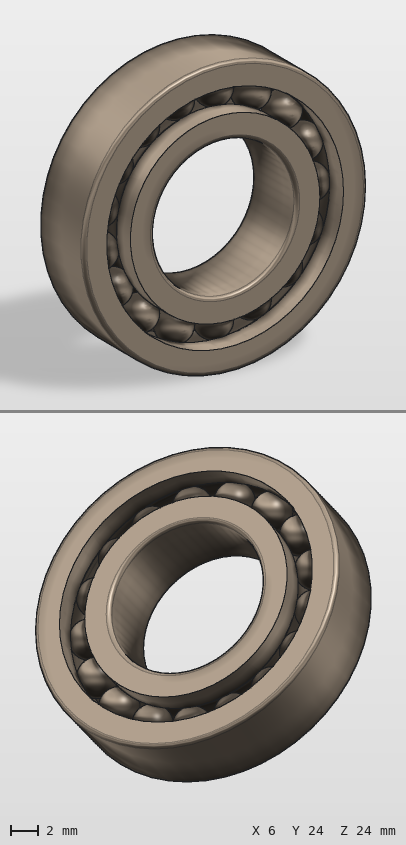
import cadquery as cq
import math

width = 6.0
bore_diameter = 12.0
inner_ring_diameter = 16.0
outer_ring_bore = 20.0
outer_diameter = 24.0
edge_radius = 0.3

ball_count = 17
ball_diameter = 3.0
ball_embed = 0.02

ball_radius = ball_diameter / 2
pitch_radius = (inner_ring_diameter + outer_ring_bore) / 4
groove_radius = ball_radius - ball_embed


def make_ring(inside_diameter, outside_diameter):
    """Plain ring along X, centred on the YZ plane."""
    return (
        cq.Workplane("YZ", origin=(-width / 2, 0, 0))
        .circle(outside_diameter / 2)
        .circle(inside_diameter / 2)
        .extrude(width)
    )


def round_rims(ring, rim_diameter):
    """Round both end edges that have the given diameter."""
    rim_edges = ring.edges("%CIRCLE").filter(
        lambda edge: math.isclose(edge.radius(), rim_diameter / 2)
    )
    return rim_edges.fillet(edge_radius)


def make_ball(angle):
    """Ball on the pitch circle, at an angle in radians from +Y towards +Z."""
    y = pitch_radius * math.cos(angle)
    z = pitch_radius * math.sin(angle)
    return cq.Workplane("XY").sphere(ball_radius).translate((0, y, z))


inner_ring = round_rims(make_ring(bore_diameter, inner_ring_diameter), bore_diameter)
outer_ring = round_rims(make_ring(outer_ring_bore, outer_diameter), outer_diameter)

race_groove = cq.Workplane(
    cq.Solid.makeTorus(pitch_radius, groove_radius, cq.Vector(), cq.Vector(1, 0, 0))
)

balls = cq.Workplane()
for index in range(ball_count):
    balls = balls.add(make_ball(2 * math.pi * index / ball_count))

grooved_rings = inner_ring.union(outer_ring).cut(race_groove)
result = grooved_rings.union(balls.combine())